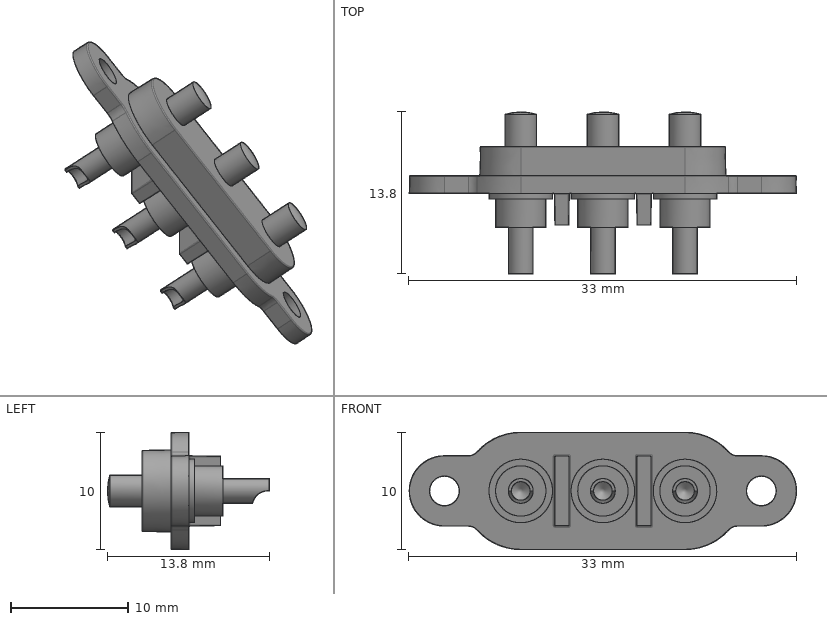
import cadquery as cq
import math

CONTACT_PITCH = 7.0
CONTACT_XS = [-CONTACT_PITCH, 0, CONTACT_PITCH]
WALL_XS = [-CONTACT_PITCH / 2, CONTACT_PITCH / 2]
EDGE_ROUNDING = 0.1
HOUSING_DRAFT_ANGLE = 1.0
SELECTION_MARGIN = 0.15

FLANGE_LENGTH = 33.0
FLANGE_HEIGHT = 10.0
FLANGE_THICKNESS = 1.52
EAR_RADIUS = 3.0
EAR_X = FLANGE_LENGTH / 2 - EAR_RADIUS
MOUNTING_HOLE_DIAMETER = 2.5
NECK_RADIUS = 1.0

PLUG_HEIGHT = 7.0
PLUG_LENGTH = 2 * CONTACT_PITCH + PLUG_HEIGHT
PLUG_DEPTH = 2.48

COLLAR_STEP_DIAMETER = 5.4
COLLAR_STEP_DEPTH = 0.5
COLLAR_DIAMETER = 4.3
COLLAR_DEPTH = 2.9

WALL_WIDTH = 1.3
WALL_HEIGHT = 6.0
WALL_DEPTH = 2.7

TAIL_DIAMETER = 2.1
TIP_DIAMETER = 2.7
PIN_FRONT_Y = -6.85
PIN_BACK_Y = 6.93
TIP_DOME_HEIGHT = 0.2

CUP_DIAMETER = 1.6
CUP_DEPTH = 2.5
CUP_CONE_ANGLE = 118.0
SCOOP_LENGTH = 1.45
SCOOP_RADIUS = 1.32


def cylinder_along_y(diameter, start_y, end_y, x):
    """Round bar whose axis is parallel to Y."""
    return cq.Workplane(cq.Solid.makeCylinder(
        diameter / 2, end_y - start_y, cq.Vector(x, start_y, 0), cq.Vector(0, 1, 0)
    ))


def stadium(length, height):
    """Outline with two straight sides and fully round ends, centred on the origin."""
    return cq.Sketch().slot(length - height, height)


def molded_slab(outline, front_y, depth):
    """Extrude an outline toward +Y with draft, and round the rim of its back face."""
    front_plane = cq.Plane(origin=(0, front_y, 0), xDir=(1, 0, 0), normal=(0, 1, 0))
    slab = cq.Workplane(front_plane).placeSketch(outline).extrude(depth, taper=HOUSING_DRAFT_ANGLE)
    return slab.faces(">Y").edges().fillet(EDGE_ROUNDING)


def make_flange():
    """Stadium-shaped centre with two rounded ears, blended at the necks."""
    centre = stadium(2 * CONTACT_PITCH + FLANGE_HEIGHT, FLANGE_HEIGHT)
    ears = stadium(FLANGE_LENGTH, 2 * EAR_RADIUS)
    neck_x = CONTACT_PITCH + math.sqrt((FLANGE_HEIGHT / 2) ** 2 - EAR_RADIUS ** 2)
    neck_corners = cq.selectors.BoxSelector(
        (-neck_x - SELECTION_MARGIN, -EAR_RADIUS - SELECTION_MARGIN, -SELECTION_MARGIN),
        (neck_x + SELECTION_MARGIN, EAR_RADIUS + SELECTION_MARGIN, SELECTION_MARGIN),
    )
    outline = centre.face(ears).clean().reset().vertices(neck_corners).fillet(NECK_RADIUS).reset()
    flange = molded_slab(outline, 0, FLANGE_THICKNESS)
    for x in (-EAR_X, EAR_X):
        flange = flange.cut(cylinder_along_y(MOUNTING_HOLE_DIAMETER, 0, FLANGE_THICKNESS, x))
    return flange


def make_plug_body():
    """Stadium-shaped block standing on the back of the flange."""
    return molded_slab(stadium(PLUG_LENGTH, PLUG_HEIGHT), FLANGE_THICKNESS, PLUG_DEPTH)


def make_collar(x):
    """Two-step insulating collar around one contact."""
    step = cylinder_along_y(COLLAR_STEP_DIAMETER, -COLLAR_STEP_DEPTH, 0, x)
    sleeve = cylinder_along_y(COLLAR_DIAMETER, -COLLAR_DEPTH, 0, x)
    return step.union(sleeve)


def make_wall(x):
    """Separator wall with rounded corners that narrows toward its free end."""
    outline = cq.Sketch().rect(WALL_WIDTH, WALL_HEIGHT).vertices().fillet(EDGE_ROUNDING)
    return (
        cq.Workplane("XZ", origin=(x, 0, 0))
        .placeSketch(outline)
        .extrude(WALL_DEPTH, taper=HOUSING_DRAFT_ANGLE)
    )


def wall_root(x):
    """Selector for the edges where a wall meets the flange."""
    half_width = WALL_WIDTH / 2 + SELECTION_MARGIN
    half_height = WALL_HEIGHT / 2 + SELECTION_MARGIN
    return cq.selectors.BoxSelector(
        (x - half_width, -SELECTION_MARGIN, -half_height),
        (x + half_width, SELECTION_MARGIN, half_height),
    )


def pin_blank(x):
    """Full-round pin: thin tail at the front, thick domed tip at the back."""
    tail_radius = TAIL_DIAMETER / 2
    tip_radius = TIP_DIAMETER / 2
    dome_radius = (tip_radius ** 2 + TIP_DOME_HEIGHT ** 2) / (2 * TIP_DOME_HEIGHT)
    dome_centre_y = PIN_BACK_Y - dome_radius
    mid_angle = math.asin(tip_radius / dome_radius) / 2
    dome_midpoint = (
        dome_radius * math.sin(mid_angle),
        dome_centre_y + dome_radius * math.cos(mid_angle),
    )
    profile = (
        cq.Workplane("XY")
        .moveTo(0, PIN_FRONT_Y)
        .lineTo(tail_radius, PIN_FRONT_Y)
        .lineTo(tail_radius, 0)
        .lineTo(tip_radius, 0)
        .lineTo(tip_radius, PIN_BACK_Y - TIP_DOME_HEIGHT)
        .threePointArc(dome_midpoint, (0, PIN_BACK_Y))
        .close()
    )
    return profile.revolve(360, (0, 0, 0), (0, 1, 0)).translate((x, 0, 0))


def cup_bore(x):
    """Drilled bore with a conical bottom, open at the tail end."""
    radius = CUP_DIAMETER / 2
    bottom_y = PIN_FRONT_Y + CUP_DEPTH
    cone_height = radius / math.tan(math.radians(CUP_CONE_ANGLE / 2))
    profile = (
        cq.Workplane("XY")
        .moveTo(0, PIN_FRONT_Y)
        .lineTo(radius, PIN_FRONT_Y)
        .lineTo(radius, bottom_y)
        .lineTo(0, bottom_y + cone_height)
        .close()
    )
    return profile.revolve(360, (0, 0, 0), (0, 1, 0)).translate((x, 0, 0))


def cup_scoop(x):
    """Block with one rounded edge that removes the lower half of the tail end."""
    block = cq.Workplane("XY").box(
        TAIL_DIAMETER, SCOOP_LENGTH, TAIL_DIAMETER, centered=(True, False, False)
    )
    block = block.edges(">Y and >Z").fillet(SCOOP_RADIUS)
    return block.translate((x, PIN_FRONT_Y, -TAIL_DIAMETER))


def make_pin(x):
    """One contact: pin blank with its solder cup cut into the tail."""
    return pin_blank(x).cut(cup_bore(x)).cut(cup_scoop(x)).solids()


def make_housing():
    """Flange, plug body, collars and walls in one piece, with a fitted hole for each pin."""
    housing = make_flange().union(make_plug_body())
    for x in WALL_XS:
        housing = housing.union(make_wall(x)).edges(wall_root(x)).fillet(EDGE_ROUNDING)
    for x in CONTACT_XS:
        housing = housing.union(make_collar(x))
    for x in CONTACT_XS:
        housing = housing.cut(pin_blank(x))
    return housing.solids()


pins = [make_pin(x) for x in CONTACT_XS]
housing = make_housing()

result = cq.Compound.makeCompound([housing.val(), *[pin.val() for pin in pins]])